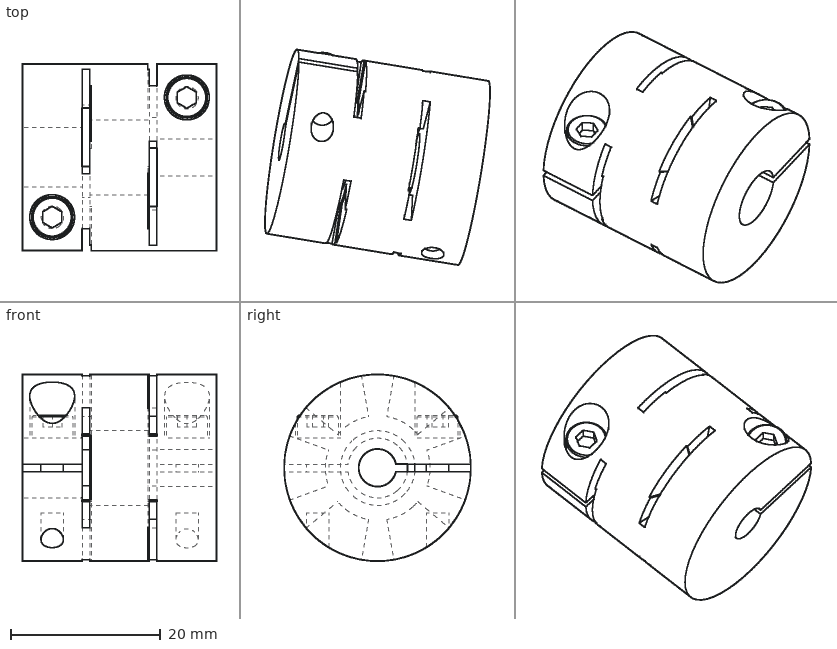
import cadquery as cq
import math

outer_radius = 25.0 / 2
total_length = 26.0
hub_length = 8.0
half_length = total_length / 2

jaws_per_hub = 3
jaw_angle = 40.0
legs = 2 * jaws_per_hub
leg_pitch = 360.0 / legs
leg_angle = leg_pitch - jaw_angle
jaw_inner_radius = 7.0
jaw_length = 8.8
spider_radius = outer_radius
spider_bore_radius = 10.0 / 2
spider_length = 8.0

left_bore_radius = 8.0 / 2
right_bore_radius = 5.0 / 2
slit_width = 1.0

screw_offset = 8.0
screw_radius = 3.0 / 2
head_radius = 5.5 / 2
head_height = 3.0
head_top = 7.0
head_chamfer = 0.2
head_seat = head_top - head_height
counterbore_radius = 6.0 / 2
socket_flats = 2.5
socket_depth = 1.5
screw_bottom = -6.0


def cylinder_x(radius, start, length):
    """Solid cylinder along +X from the plane x = start."""
    return cq.Workplane("YZ", origin=(start, 0, 0)).circle(radius).extrude(length)


def cylinder_z(radius, x, y, bottom, top):
    """Solid vertical cylinder between two heights."""
    return cq.Workplane("XY", origin=(x, y, bottom)).circle(radius).extrude(top - bottom)


def ring_sector(inner, outer, centre_angle, span, start, length):
    """Sector of a ring about the X axis; angles run from +Y towards +Z."""

    def point(radius, angle):
        a = math.radians(angle)
        return (radius * math.cos(a), radius * math.sin(a))

    low = centre_angle - span / 2
    high = centre_angle + span / 2
    return (
        cq.Workplane("YZ", origin=(start, 0, 0))
        .moveTo(*point(inner, low))
        .lineTo(*point(outer, low))
        .threePointArc(point(outer, centre_angle), point(outer, high))
        .lineTo(*point(inner, high))
        .threePointArc(point(inner, centre_angle), point(inner, low))
        .close()
        .extrude(length)
    )


def clamp_screw(x, y):
    """Socket head cap screw standing along Z, head up."""
    head = cylinder_z(head_radius, x, y, head_seat, head_top).faces(">Z").chamfer(head_chamfer)
    socket = (
        cq.Workplane("XY", origin=(x, y, head_top))
        .transformed(rotate=(0, 0, 90))
        .polygon(6, socket_flats / math.cos(math.pi / 6))
        .extrude(-socket_depth)
    )
    shank = cylinder_z(screw_radius, x, y, screw_bottom, head_seat)
    return head.cut(socket).union(shank)


def left_hub(bore_radius):
    """Clamp hub at the -X end, jaws pointing to +X, slit and screw on the -Y side."""
    jaw_root_x = hub_length - half_length
    hub = cylinder_x(outer_radius, -half_length, hub_length)
    for i in range(jaws_per_hub):
        angle = i * 360.0 / jaws_per_hub
        hub = hub.union(
            ring_sector(jaw_inner_radius, outer_radius, angle, jaw_angle, jaw_root_x, jaw_length)
        )
    hub = hub.cut(cylinder_x(bore_radius, -half_length, hub_length))

    screw_x = hub_length / 2 - half_length
    slit = cq.Workplane("XY").box(hub_length, outer_radius, slit_width)
    hub = hub.cut(slit.translate((screw_x, -outer_radius / 2, 0)))

    hub = hub.cut(cylinder_z(counterbore_radius, screw_x, -screw_offset, head_seat, outer_radius))
    hub = hub.cut(cylinder_z(screw_radius, screw_x, -screw_offset, -outer_radius, head_seat))
    return hub.union(clamp_screw(screw_x, -screw_offset))


def spider():
    """Elastic star between the hubs, one leg in every gap between neighbouring jaws."""
    start = -spider_length / 2
    star = cylinder_x(jaw_inner_radius, start, spider_length)
    for i in range(legs):
        angle = (i + 0.5) * leg_pitch
        star = star.union(
            ring_sector(spider_bore_radius, spider_radius, angle, leg_angle, start, spider_length)
        )
    return star.cut(cylinder_x(spider_bore_radius, start, spider_length))


right_hub = left_hub(right_bore_radius).rotate((0, 0, 0), (0, 0, 1), 180)

result = left_hub(left_bore_radius).union(spider(), clean=False).union(right_hub, clean=False)